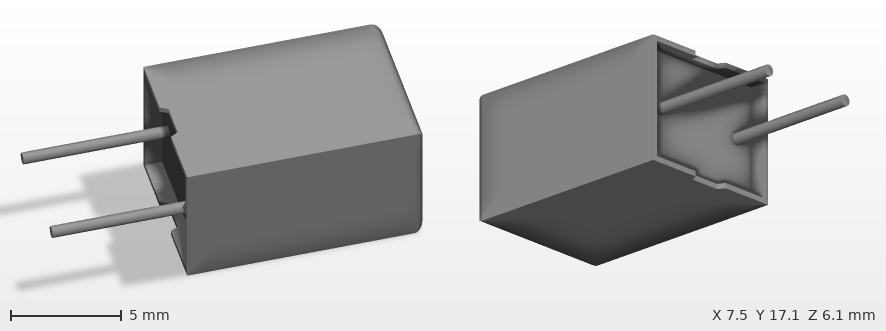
import cadquery as cq

total_length = 17.1
case_width = 7.5
case_height = 6.1
lead_reach = 6.0
case_length = total_length - lead_reach

wall = 0.25
back_edge_radius = 0.5
notch_mouth_width = 1.97
notch_floor_width = 1.59
notch_depth = 0.36

potting_recess = 0.8
lead_diameter = 0.55
lead_pitch = 5.0

cavity_width = case_width - 2 * wall
cavity_height = case_height - 2 * wall
cavity_depth = case_length - wall


def block_along_y(width, height, y_start, y_end):
    """Box centred in X and Z that runs from y_start to y_end."""
    return (
        cq.Workplane("XY")
        .box(width, y_end - y_start, height, centered=(True, False, True))
        .translate((0, y_start, 0))
    )


def make_notch_cutter():
    """Tapered notch in the open rim, passing through both Z walls."""
    return (
        cq.Workplane("XY")
        .moveTo(-notch_mouth_width / 2, 0)
        .lineTo(notch_mouth_width / 2, 0)
        .lineTo(notch_floor_width / 2, notch_depth)
        .lineTo(-notch_floor_width / 2, notch_depth)
        .close()
        .extrude(case_height, both=True)
    )


def make_case():
    """Open box with its rim at Y = 0 and rounded edges around the back face."""
    outer = block_along_y(case_width, case_height, 0, case_length)
    outer = outer.faces(">Y").edges().fillet(back_edge_radius)
    cavity = block_along_y(cavity_width, cavity_height, 0, cavity_depth)
    return outer.cut(cavity).cut(make_notch_cutter())


def make_potting():
    """Solid fill of the case cavity, set back from the rim."""
    return block_along_y(cavity_width, cavity_height, potting_recess, cavity_depth)


def make_lead(x):
    """Round lead standing on the potting face and reaching past the rim."""
    return (
        cq.Workplane("XZ", origin=(x, potting_recess, 0))
        .circle(lead_diameter / 2)
        .extrude(potting_recess + lead_reach)
    )


case = make_case()
potting = make_potting()
leads = [make_lead(side * lead_pitch / 2) for side in (-1, 1)]

result = cq.Compound.makeCompound([case.val(), potting.val(), *[lead.val() for lead in leads]])